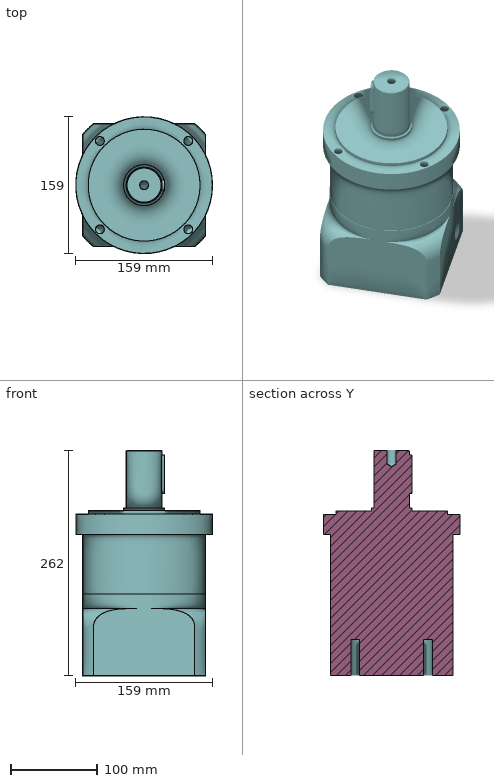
import cadquery as cq
import math

ring_bottom = 78.3
ring_top = 95.0
flange_bottom = 164.3
flange_top = 187.9
pilot_top = 192.0
collar_top = 195.2
shaft_top = 262

housing_width = 143.0
corner_radius = 92.5
ring_radius = 72.0
shoulder_radius = corner_radius - ring_radius

body_diameter = 143.0
flange_diameter = 159.0
pilot_diameter = 130.0
collar_diameter = 47.7
shaft_diameter = 41.7
shaft_chamfer = 1.0

key_width = 12.0
key_bottom = 211.7
key_length = 45.0
key_top_x = collar_diameter / 2
key_depth = 6.5

drill_diameter = 10.2
drill_depth = 15.7
drill_point_angle = 118
mount_circle_radius = 72.5
mount_hole_count = 4

access_diameter = 22.0
access_y = -29.0
access_z = 25.2
hub_diameter = 75.0
cavity_diameter = 94.3
cavity_depth = 42


def cylinder(diameter, bottom, top):
    return cq.Workplane("XY").workplane(offset=bottom).circle(diameter / 2).extrude(top - bottom)


def housing():
    """Square block trimmed by a turned envelope, giving round corners and curved shoulders."""
    arc_offset = shoulder_radius * math.sin(math.radians(45))
    shoulder_start = ring_bottom - shoulder_radius
    arc_middle = (ring_radius + arc_offset, shoulder_start + arc_offset)
    envelope = (
        cq.Workplane("XZ")
        .lineTo(corner_radius, 0)
        .lineTo(corner_radius, shoulder_start)
        .threePointArc(arc_middle, (ring_radius, ring_bottom))
        .lineTo(ring_radius, ring_top)
        .lineTo(0, ring_top)
        .close()
        .revolve(360, (0, 0, 0), (0, 1, 0))
    )
    block = cq.Workplane("XY").rect(housing_width, housing_width).extrude(ring_top)
    return block.intersect(envelope)


def turned_body():
    """Gearbox body, flange, pilot, collar and chamfered shaft, stacked along Z."""
    shaft = cylinder(shaft_diameter, collar_top, shaft_top).faces(">Z").chamfer(shaft_chamfer)
    return (
        cylinder(body_diameter, ring_top, flange_bottom)
        .union(cylinder(flange_diameter, flange_bottom, flange_top))
        .union(cylinder(pilot_diameter, flange_top, pilot_top))
        .union(cylinder(collar_diameter, pilot_top, collar_top))
        .union(shaft)
    )


def shaft_key():
    """Round-ended key, partly sunk into the shaft."""
    return (
        cq.Workplane("YZ")
        .workplane(offset=key_top_x - key_depth)
        .center(0, key_bottom + key_length / 2)
        .slot2D(key_length, key_width, 90)
        .extrude(key_depth)
    )


def drilled_hole(x, y, top):
    """Blind hole with a conical drill point, going down from the given height."""
    radius = drill_diameter / 2
    point_length = radius / math.tan(math.radians(drill_point_angle / 2))
    profile = (
        cq.Workplane("XZ")
        .lineTo(radius, 0)
        .lineTo(radius, -drill_depth)
        .lineTo(0, -drill_depth - point_length)
        .close()
    )
    return profile.revolve(360, (0, 0, 0), (0, 1, 0)).translate((x, y, top))


def access_hole():
    """Cross hole from the -X face, ending inside the clamp cavity."""
    return (
        cq.Workplane("YZ")
        .center(access_y, access_z)
        .circle(access_diameter / 2)
        .extrude(-housing_width / 2)
    )


result = housing().union(turned_body()).union(shaft_key())

result = result.cut(drilled_hole(0, 0, shaft_top))
for index in range(mount_hole_count):
    angle = math.radians(45 + index * 360 / mount_hole_count)
    mount_x = mount_circle_radius * math.cos(angle)
    mount_y = mount_circle_radius * math.sin(angle)
    result = result.cut(drilled_hole(mount_x, mount_y, flange_top))

result = result.cut(cylinder(cavity_diameter, 0, cavity_depth))
result = result.cut(access_hole())
result = result.union(cylinder(hub_diameter, 0, cavity_depth))